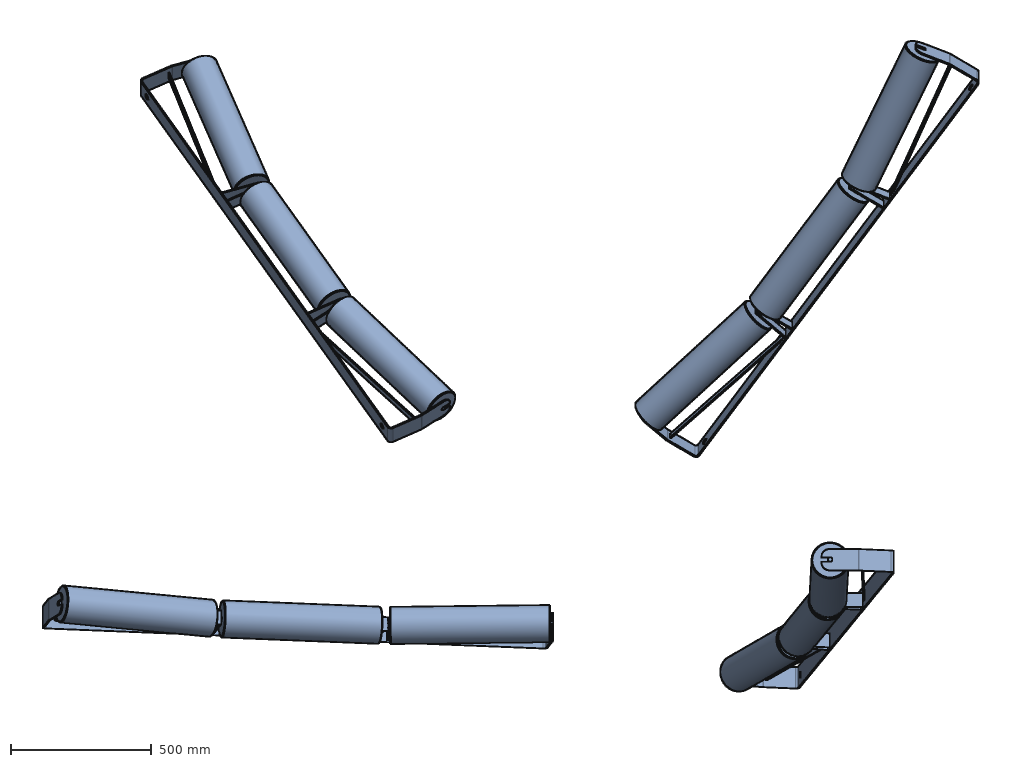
import cadquery as cq
import math

FRAME_LENGTH = 1820.0
STRIP_THICKNESS = 5.0
FRAME_WIDTH = 78.0
TROUGH_ANGLE = 10.0
BEND_RADIUS = 15.0
BEND_Y = 131.0
AXIS_ON_ARM = 100.0
ARM_TIP = 131.0
ARM_TIP_RADIUS = 30.0
MOUNT_HOLE_DIAMETER = 22.0
MOUNT_HOLE_INSET = 55.0

ROLLER_DIAMETER = 133.0
ROLLER_LENGTH = 570.0
ROLLER_CHAMFER = 4.0
SHAFT_DIAMETER = 16.0
END_GAP = 5.0
CENTER_AXIS_Y = 125.0
INNER_DROP = 7.0

BRACKET_TOP_Y = 150.0
BRACKET_WIDTH = 51.0
BRACE_TOP_Y = 120.0
BRACE_FOOT_X = 342.0
BRACE_WIDTH = 27.0

HALF_LENGTH = FRAME_LENGTH / 2
SLOPE = math.radians(TROUGH_ANGLE)
ALONG_ROLLER = cq.Vector(math.cos(SLOPE), math.sin(SLOPE), 0)
ALONG_ARM = cq.Vector(-math.sin(SLOPE), math.cos(SLOPE), 0)
SHAFT_REACH = END_GAP + STRIP_THICKNESS
ARM_BEND = cq.Vector(HALF_LENGTH, BEND_Y, 0)
ARM_INNER_X = HALF_LENGTH - STRIP_THICKNESS
ARM_INNER_BEND_Y = BEND_Y - STRIP_THICKNESS * math.tan(SLOPE / 2)
SHAFT_TIP = ARM_BEND + ALONG_ARM * AXIS_ON_ARM
OUTER_END = SHAFT_TIP - ALONG_ROLLER * SHAFT_REACH
INNER_END = OUTER_END - ALONG_ROLLER * ROLLER_LENGTH - cq.Vector(0, 0, INNER_DROP)
OUTER_AXIS = (OUTER_END - INNER_END).normalized()
OUTER_MIDDLE = (OUTER_END + INNER_END) * 0.5
CENTER_MIDDLE = cq.Vector(0, CENTER_AXIS_Y, -INNER_DROP)
CUT_DEPTH = 4 * STRIP_THICKNESS


def mirrored(workplane):
    """The matching feature on the -X half."""
    return workplane.mirror("YZ")


def strip(points, width, center_z=0):
    """A plate with the given XY outline, standing `width` tall about center_z."""
    return (
        cq.Workplane("XY", origin=(0, 0, center_z - width / 2))
        .polyline([(p.x, p.y) for p in points])
        .close()
        .extrude(width)
    )


def rod(middle, axis, diameter, length):
    """A round bar centred on `middle`."""
    plane = cq.Plane(origin=middle - axis * (length / 2), normal=axis)
    return cq.Workplane(plane).circle(diameter / 2).extrude(length)


def roller(middle, axis):
    """A drum with chamfered rims and a stub shaft at both ends, centred on `middle`."""
    drum = rod(middle, axis, ROLLER_DIAMETER, ROLLER_LENGTH)
    drum = drum.edges().chamfer(ROLLER_CHAMFER)
    shaft = rod(middle, axis, SHAFT_DIAMETER, ROLLER_LENGTH + 2 * SHAFT_REACH)
    return drum.union(shaft)


def shaft_slot():
    """Open slot in the end arm, with a round seat for the roller shaft."""
    plane = cq.Plane(origin=OUTER_END, xDir=ALONG_ARM, normal=OUTER_AXIS)
    opening = 2 * (ARM_TIP - AXIS_ON_ARM)
    seat = cq.Workplane(plane).circle(SHAFT_DIAMETER / 2).extrude(CUT_DEPTH, both=True)
    mouth = (
        cq.Workplane(plane)
        .center(opening / 2, 0)
        .rect(opening, SHAFT_DIAMETER)
        .extrude(CUT_DEPTH, both=True)
    )
    return seat.union(mouth)


def end_arm():
    """The leaning end of the frame, with a rounded, slotted tip."""
    tip = ARM_BEND + ALONG_ARM * ARM_TIP
    inward = ALONG_ROLLER * STRIP_THICKNESS
    inner_bend = cq.Vector(ARM_INNER_X, ARM_INNER_BEND_Y, 0)
    arm = strip([ARM_BEND, tip, tip - inward, inner_bend], FRAME_WIDTH)
    for side in (-1, 1):
        corner = tip + cq.Vector(0, 0, side * FRAME_WIDTH / 2)
        arm = arm.edges(cq.NearestToPointSelector(corner.toTuple())).fillet(ARM_TIP_RADIUS)
    return arm.cut(shaft_slot())


def base_frame():
    """Long channel lying along X with a leaning arm at each end."""
    inner_radius = BEND_RADIUS - STRIP_THICKNESS
    outside = cq.Workplane("XY").box(FRAME_LENGTH, BEND_Y, FRAME_WIDTH, centered=(True, False, True))
    outside = outside.edges("|Z and <Y").fillet(BEND_RADIUS)
    inside = (
        cq.Workplane("XY", origin=(0, STRIP_THICKNESS, 0))
        .box(FRAME_LENGTH - 2 * STRIP_THICKNESS, BEND_Y, FRAME_WIDTH, centered=(True, False, True))
        .edges("|Z and <Y").fillet(inner_radius)
    )
    hole_x = HALF_LENGTH - MOUNT_HOLE_INSET
    holes = (
        cq.Workplane("XZ")
        .pushPoints([(-hole_x, 0), (hole_x, 0)])
        .circle(MOUNT_HOLE_DIAMETER / 2)
        .extrude(CUT_DEPTH, both=True)
    )
    arm = end_arm()
    frame = outside.cut(inside).union(arm).union(mirrored(arm)).cut(holes)
    for side in (-1, 1):
        outer_bend = (side * HALF_LENGTH, BEND_Y, 0)
        inner_bend = (side * ARM_INNER_X, ARM_INNER_BEND_Y, 0)
        frame = frame.edges(cq.NearestToPointSelector(outer_bend)).fillet(BEND_RADIUS)
        frame = frame.edges(cq.NearestToPointSelector(inner_bend)).fillet(inner_radius)
    return frame


def leaning_leg_x(y, offset):
    """X of the point at `y` on a line square to the outer roller, `offset` inward of its inner end."""
    start = INNER_END - ALONG_ROLLER * offset
    return start.x - (y - start.y) * math.tan(SLOPE)


def bracket(carried_rollers):
    """Folded strip that carries the inner shafts of two neighbouring rollers."""
    foot = STRIP_THICKNESS
    crown = BRACKET_TOP_Y - STRIP_THICKNESS
    upright_near = ROLLER_LENGTH / 2 + END_GAP
    upright_far = upright_near + STRIP_THICKNESS
    outline = [
        (upright_near, foot),
        (upright_near, BRACKET_TOP_Y),
        (leaning_leg_x(BRACKET_TOP_Y, END_GAP), BRACKET_TOP_Y),
        (leaning_leg_x(foot, END_GAP), foot),
        (leaning_leg_x(foot, SHAFT_REACH), foot),
        (leaning_leg_x(crown, SHAFT_REACH), crown),
        (upright_far, crown),
        (upright_far, foot),
    ]
    body = strip([cq.Vector(x, y, 0) for x, y in outline], BRACKET_WIDTH, -INNER_DROP)
    for carried in carried_rollers:
        body = body.cut(carried)
    return body


def brace():
    """Sloping flat strip from the base of the frame up to its end arm."""
    foot_y = STRIP_THICKNESS
    rise = (BRACE_TOP_Y - foot_y) / (ARM_INNER_X - BRACE_FOOT_X)
    depth = STRIP_THICKNESS * math.hypot(1, rise)
    outline = [
        (BRACE_FOOT_X, foot_y),
        (ARM_INNER_X, BRACE_TOP_Y),
        (ARM_INNER_X, BRACE_TOP_Y - depth),
        (BRACE_FOOT_X + depth / rise, foot_y),
    ]
    return strip([cq.Vector(x, y, 0) for x, y in outline], BRACE_WIDTH)


frame = base_frame()
center_roller = roller(CENTER_MIDDLE, cq.Vector(1, 0, 0))
right_roller = roller(OUTER_MIDDLE, OUTER_AXIS)
right_bracket = bracket([center_roller, right_roller])
right_brace = brace()

bodies = [frame, center_roller]
for right_body in (right_roller, right_bracket, right_brace):
    bodies += [right_body, mirrored(right_body)]

result = cq.Compound.makeCompound([body.val() for body in bodies])